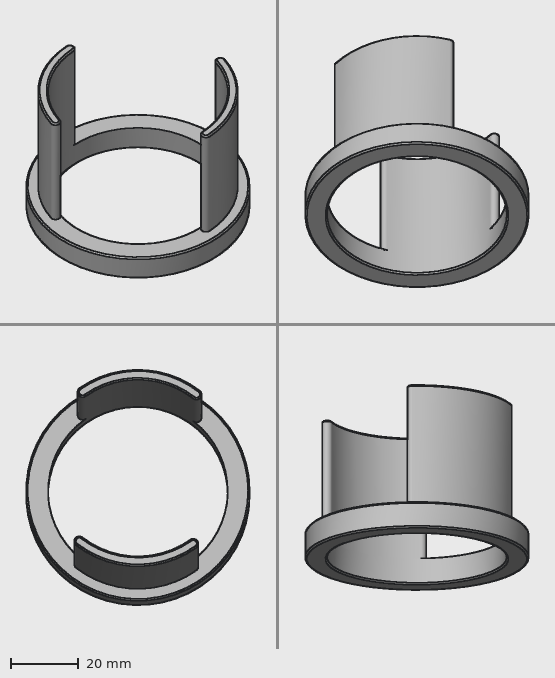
import cadquery as cq
import math

ring_diameter = 66.0
bore_diameter = 53.0
ring_height = 8.0
edge_chamfer = 0.5

total_height = 45.0
wall_thickness = 3.0
wall_start_angle = 10.0
wall_sweep = 80.0
wall_count = 2
root_depth = ring_height / 2

wall_height = total_height - ring_height
inner_radius = bore_diameter / 2
outer_radius = inner_radius + wall_thickness
middle_radius = inner_radius + wall_thickness / 2
end_radius = wall_thickness / 2

end_inset_angle = math.degrees(math.asin(end_radius / middle_radius))


def polar_point(radius, angle):
    """Point at a radius and an angle in degrees from +X."""
    return (
        radius * math.cos(math.radians(angle)),
        radius * math.sin(math.radians(angle)),
    )


def make_disc():
    """Disc with both outer edges chamfered, before boring."""
    disc = cq.Workplane("XY").circle(ring_diameter / 2).extrude(ring_height)
    return disc.edges("%CIRCLE").chamfer(edge_chamfer)


def make_wall():
    """Arc-shaped wall, rooted in the disc, with round ends and a chamfered top rim."""
    first_angle = wall_start_angle + end_inset_angle
    last_angle = wall_start_angle + wall_sweep - end_inset_angle
    middle_angle = (first_angle + last_angle) / 2
    tip_radius = math.hypot(middle_radius, end_radius)
    tip_angle = math.degrees(math.atan2(end_radius, middle_radius))

    wall = (
        cq.Workplane("XY")
        .workplane(offset=ring_height - root_depth)
        .moveTo(*polar_point(outer_radius, first_angle))
        .threePointArc(
            polar_point(outer_radius, middle_angle),
            polar_point(outer_radius, last_angle),
        )
        .threePointArc(
            polar_point(tip_radius, last_angle + tip_angle),
            polar_point(inner_radius, last_angle),
        )
        .threePointArc(
            polar_point(inner_radius, middle_angle),
            polar_point(inner_radius, first_angle),
        )
        .threePointArc(
            polar_point(tip_radius, first_angle - tip_angle),
            polar_point(outer_radius, first_angle),
        )
        .close()
        .extrude(wall_height + root_depth)
    )
    return wall.faces(">Z").edges().chamfer(edge_chamfer)


def bore_through(body):
    """Bore the full height, so bore and walls share one inner face, and chamfer below."""
    bore = (
        cq.Workplane("XZ")
        .lineTo(inner_radius + edge_chamfer, 0)
        .lineTo(inner_radius, edge_chamfer)
        .lineTo(inner_radius, total_height)
        .lineTo(0, total_height)
        .close()
        .revolve(360, (0, 0, 0), (0, 1, 0))
    )
    seam_angle = wall_start_angle + wall_sweep + (360.0 / wall_count - wall_sweep) / 2
    return body.cut(bore.rotate((0, 0, 0), (0, 0, 1), seam_angle))


body = make_disc()
wall = make_wall()
for index in range(wall_count):
    turn = index * 360.0 / wall_count
    body = body.union(wall.rotate((0, 0, 0), (0, 0, 1), turn))

result = bore_through(body)